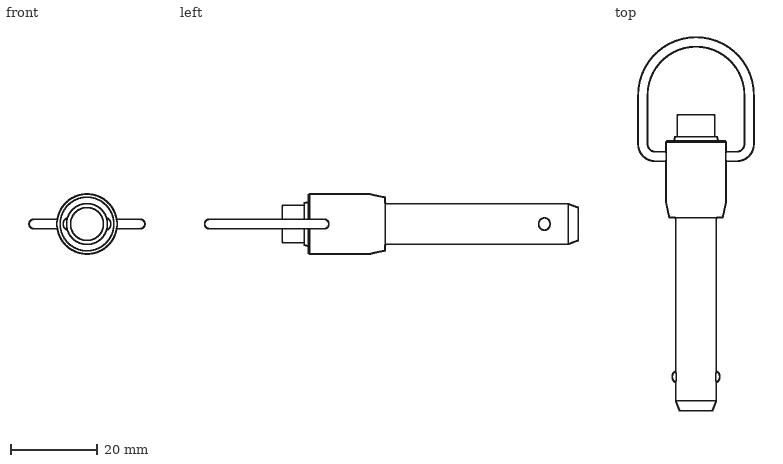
import cadquery as cq
import math


shank_diameter = 9.5
shank_length = 44.85
nose_length = 2.4
nose_tip_diameter = 7.65

ball_diameter = 3.0
ball_span = 11.1
ball_from_tip = 7.9

handle_diameter = 13.97
handle_length = 17.78
taper_length = 3.55
handle_end_diameter = 12.45
handle_top_chamfer = 0.25
shoulder_fillet = 0.2

collar_base_diameter = 10.3
collar_top_diameter = 9.8
collar_height = 1.0
button_diameter = 8.8
button_edge_radius = 0.35
button_top_height = 6.1

ring_width = 26.92
wire_diameter = 2.25
overall_length = 86.74
bend_radius = 2.9
wire_foot_depth = 3.6

tip_y = -shank_length


def make_body():
    """Shank, handle, collar and button as one revolved half outline (X is the radius)."""
    shank_radius = shank_diameter / 2
    handle_radius = handle_diameter / 2
    button_radius = button_diameter / 2
    collar_top_y = handle_length + collar_height
    button_top_y = handle_length + button_top_height

    outline = (
        cq.Workplane("XY")
        .moveTo(0, tip_y)
        .lineTo(nose_tip_diameter / 2, tip_y)
        .lineTo(shank_radius, tip_y + nose_length)
        .lineTo(shank_radius, -shoulder_fillet)
        .radiusArc((shank_radius + shoulder_fillet, 0), shoulder_fillet)
        .lineTo(handle_end_diameter / 2, 0)
        .lineTo(handle_radius, taper_length)
        .lineTo(handle_radius, handle_length - handle_top_chamfer)
        .lineTo(handle_radius - handle_top_chamfer, handle_length)
        .lineTo(collar_base_diameter / 2, handle_length)
        .lineTo(collar_top_diameter / 2, collar_top_y)
        .lineTo(button_radius, collar_top_y)
        .lineTo(button_radius, button_top_y - button_edge_radius)
        .radiusArc((button_radius - button_edge_radius, button_top_y), -button_edge_radius)
        .lineTo(0, button_top_y)
        .close()
    )
    return outline.revolve(360, (0, 0, 0), (0, 1, 0))


def make_ball(side):
    """Locking ball on the +X (side = 1) or -X (side = -1) flank of the shank."""
    center_x = side * (ball_span - ball_diameter) / 2
    return cq.Workplane("XY").sphere(ball_diameter / 2).translate((center_x, tip_y + ball_from_tip, 0))


def make_ring():
    """Round wire bent into a bow, with both feet ending inside the handle."""
    bow_radius = (ring_width - wire_diameter) / 2
    bow_center_y = tip_y + overall_length - ring_width / 2
    foot_y = handle_length - wire_foot_depth
    leg_bottom_y = foot_y + bend_radius
    foot_bend_x = bow_radius - bend_radius
    foot_end_x = handle_diameter / 4
    bend_mid = bend_radius * math.sqrt(0.5)

    path = (
        cq.Workplane("XY")
        .moveTo(-foot_end_x, foot_y)
        .lineTo(-foot_bend_x, foot_y)
        .threePointArc((-foot_bend_x - bend_mid, leg_bottom_y - bend_mid), (-bow_radius, leg_bottom_y))
        .lineTo(-bow_radius, bow_center_y)
        .threePointArc((0, bow_center_y + bow_radius), (bow_radius, bow_center_y))
        .lineTo(bow_radius, leg_bottom_y)
        .threePointArc((foot_bend_x + bend_mid, leg_bottom_y - bend_mid), (foot_bend_x, foot_y))
        .lineTo(foot_end_x, foot_y)
    )
    wire_section = cq.Workplane("YZ", origin=(-foot_end_x, foot_y, 0)).circle(wire_diameter / 2)
    return wire_section.sweep(path)


result = make_body().union(make_ring())
for ball_side in (-1, 1):
    result = result.union(make_ball(ball_side))